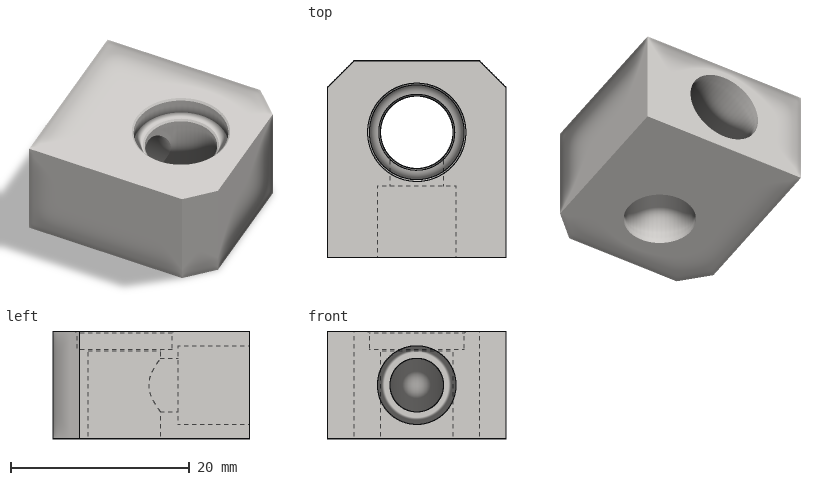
import cadquery as cq

width = 20.0
length = 22.0
height = 12.0
corner_chamfer = 3.0

bore_y = 14.0
bore_diameter = 8.1
bore_chamfer = 0.2
counterbore_diameter = 10.6
counterbore_depth = 2.0
counterbore_chamfer = 0.2

port_diameter = 8.8
port_depth = 8.0
passage_diameter = 6.0

top_z = height / 2
shoulder_z = top_z - counterbore_depth


def make_block():
    """Rectangular block with its two rear vertical corners chamfered."""
    block = cq.Workplane("XY").box(width, length, height, centered=(True, False, True))
    return block.edges("|Z and >Y").chamfer(corner_chamfer)


def make_vertical_bore():
    """Revolved profile of the through bore, counterbore and their entry chamfers."""
    bore_radius = bore_diameter / 2
    counterbore_radius = counterbore_diameter / 2
    profile = (
        cq.Workplane("XZ", origin=(0, bore_y, 0))
        .moveTo(0, -height / 2)
        .lineTo(bore_radius, -height / 2)
        .lineTo(bore_radius, shoulder_z - bore_chamfer)
        .lineTo(bore_radius + bore_chamfer, shoulder_z)
        .lineTo(counterbore_radius, shoulder_z)
        .lineTo(counterbore_radius, top_z - counterbore_chamfer)
        .lineTo(counterbore_radius + counterbore_chamfer, top_z)
        .lineTo(0, top_z)
        .close()
    )
    return profile.revolve(360, (0, 0, 0), (0, 1, 0))


def make_port():
    """Wide front port followed by a narrower passage to the bore axis."""
    front = cq.Workplane("XZ")
    port = front.circle(port_diameter / 2).extrude(-port_depth)
    passage = front.circle(passage_diameter / 2).extrude(-bore_y)
    return port.union(passage)


result = make_block().cut(make_vertical_bore()).cut(make_port())